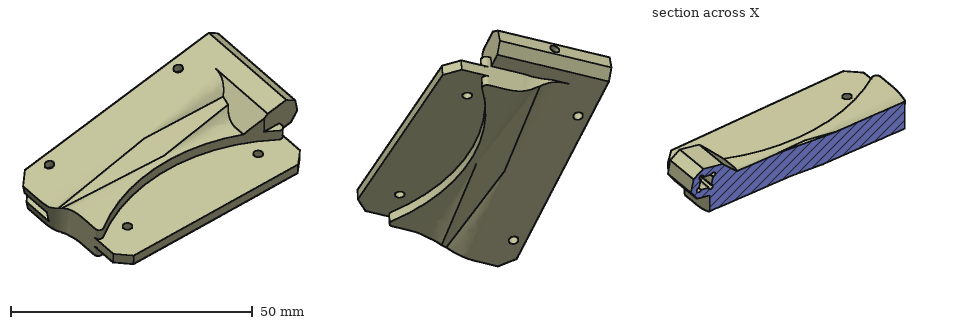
import cadquery as cq
import math

LEAN_ANGLE = 2.5
TWIST_ANGLE = 12.0

THICKNESS = 7.5
HALF_THICKNESS = THICKNESS / 2
HALF_LENGTH = 25.0
WIDTH = 35.0
SOCKET_EDGE_X = -17.35
TAB_EDGE_X = SOCKET_EDGE_X + WIDTH
CORNER_CHAMFER = 3.0
TALL = 40.0

SOCKET_BEND_X = -5.8
TAB_BEND_X = 0.7
BEND_RADIUS = 10.5
SLAB_REACH = 26.0
SLAB_MARGIN = 1.0

TAB_THICKNESS = 2.5
TAB_CENTRE_Z = -0.1
SHOULDER_RADIUS = 41.6
SHOULDER_MIDDLE_X = 2.25
SHOULDER_TIP_RADIUS = 1.0

SLOT_HEIGHT = 3.0
SLOT_FLOOR_X = -7.05
SLOT_END_Y = 22.95
SCREW_DIAMETER = 2.0
SCREW_SPACING = 35.0
SOCKET_SCREW_X = SOCKET_EDGE_X + 2.6
TAB_SCREW_X = TAB_EDGE_X - 7.5

BAR_END_X = SOCKET_EDGE_X + 25.2
BAR_END_Y = HALF_LENGTH + 5.1
BAR_CHAMFER = 2.1
BAR_SLOPE_ANGLE = 45.0 - TWIST_ANGLE
POCKET_Y = 26.45
POCKET_SIDE = 3.1
POCKET_DEPTH = 24.0
RELIEF_DIAMETER = 1.0
SET_SCREW_DIAMETER = 2.0
SET_SCREW_X = (SOCKET_EDGE_X + BAR_END_X) / 2


def twisted(body):
    """Turn a body from the flat attitude into that of the socket half."""
    return body.rotate((0, 0, 0), (1, 0, 0), TWIST_ANGLE)


def surface_points(y, side):
    """Corners of the upper (side = 1) or lower (side = -1) surface profile at one Y, left to right.

    Each bend gives its start, the middle of its arc and its end.
    """
    twist = math.radians(TWIST_ANGLE)
    socket_z = y * math.tan(twist) + side * HALF_THICKNESS / math.cos(twist)
    tab_z = side * HALF_THICKNESS
    slope = math.atan2(tab_z - socket_z, TAB_BEND_X - SOCKET_BEND_X)
    setback = BEND_RADIUS * math.tan(abs(slope) / 2)
    sagitta = BEND_RADIUS * (1 / math.cos(slope / 2) - 1) * math.copysign(1, slope)
    run = setback * math.cos(slope)
    rise = setback * math.sin(slope)
    mid_x = sagitta * math.sin(slope / 2)
    mid_z = sagitta * math.cos(slope / 2)
    return [
        (SOCKET_EDGE_X - SLAB_MARGIN, socket_z),
        (SOCKET_BEND_X - setback, socket_z),
        (SOCKET_BEND_X - mid_x, socket_z + mid_z),
        (SOCKET_BEND_X + run, socket_z + rise),
        (TAB_BEND_X - run, tab_z - rise),
        (TAB_BEND_X + mid_x, tab_z - mid_z),
        (TAB_BEND_X + setback, tab_z),
        (TAB_EDGE_X + SLAB_MARGIN, tab_z),
    ]


def slab_section(y):
    """Closed S-shaped profile of the slab in the plane at y."""
    upper = [cq.Vector(x, y, z) for x, z in surface_points(y, 1)]
    lower = [cq.Vector(x, y, z) for x, z in reversed(surface_points(y, -1))]
    edges = []
    for points in (upper, lower):
        edges.append(cq.Edge.makeLine(points[0], points[1]))
        edges.append(cq.Edge.makeThreePointArc(points[1], points[2], points[3]))
        edges.append(cq.Edge.makeLine(points[3], points[4]))
        edges.append(cq.Edge.makeThreePointArc(points[4], points[5], points[6]))
        edges.append(cq.Edge.makeLine(points[6], points[7]))
    edges.append(cq.Edge.makeLine(upper[-1], lower[0]))
    edges.append(cq.Edge.makeLine(lower[-1], upper[0]))
    return cq.Wire.assembleEdges(edges)


def slab():
    """Twisted slab, longer than the part, ruled from its middle to either end."""
    front, middle, back = (slab_section(y) for y in (-SLAB_REACH, 0, SLAB_REACH))
    front_half = cq.Solid.makeLoft([front, middle], True)
    back_half = cq.Solid.makeLoft([middle, back], True)
    return cq.Workplane(front_half).union(cq.Workplane(back_half))


def tall_block(start_x, end_x):
    """Full-length block between two X positions, much taller than the part."""
    block = cq.Workplane().box(end_x - start_x, 2 * HALF_LENGTH, TALL)
    return block.translate(((start_x + end_x) / 2, 0, 0))


def footprint():
    """Tall walls around the slab: the socket half, the twisting bridge and the tab half."""
    socket = tall_block(SOCKET_EDGE_X, SOCKET_BEND_X)
    socket = socket.edges("|Z and <X and <Y").chamfer(CORNER_CHAMFER)
    tab = tall_block(TAB_BEND_X, TAB_EDGE_X).edges("|Z and >X").chamfer(CORNER_CHAMFER)
    outline = cq.Workplane("YZ").rect(2 * HALF_LENGTH, TALL)
    bridge_start = twisted(outline.translate((SOCKET_BEND_X, 0, 0)))
    bridge_end = outline.translate((TAB_BEND_X, 0, 0))
    sections = [bridge_start.val(), bridge_end.val()]
    bridge = cq.Workplane(cq.Solid.makeLoft(sections, True))
    return twisted(socket).union(bridge).union(tab)


def bar():
    """Bar across the back end: chamfered nose, and a slope that runs down into the tab half."""
    slope_run = THICKNESS / math.tan(math.radians(BAR_SLOPE_ANGLE))
    profile = [
        (SLOT_END_Y, HALF_THICKNESS),
        (BAR_END_Y - BAR_CHAMFER, HALF_THICKNESS),
        (BAR_END_Y, HALF_THICKNESS - BAR_CHAMFER),
        (BAR_END_Y, BAR_CHAMFER - HALF_THICKNESS),
        (BAR_END_Y - BAR_CHAMFER, -HALF_THICKNESS),
        (SLOT_END_Y - slope_run, -HALF_THICKNESS),
    ]
    body = cq.Workplane("YZ").polyline(profile).close().extrude(BAR_END_X - SOCKET_EDGE_X)
    return twisted(body.translate((SOCKET_EDGE_X, 0, 0)))


def shoulder_cuts():
    """Everything beyond the concave shoulder, above and below the tab."""
    axis_x = SHOULDER_MIDDLE_X + SHOULDER_RADIUS
    beyond = cq.Workplane().circle(SHOULDER_RADIUS).extrude(TALL).translate((axis_x, 0, 0))
    block = cq.Workplane().rect(2 * axis_x, 2 * HALF_LENGTH).extrude(TALL)
    tips = block.cut(beyond).edges("|Z and >X").fillet(SHOULDER_TIP_RADIUS)
    cutter = block.cut(tips)
    above = cutter.translate((0, 0, TAB_CENTRE_Z + TAB_THICKNESS / 2))
    below = cutter.translate((0, 0, TAB_CENTRE_Z - TAB_THICKNESS / 2 - TALL))
    return above.union(below)


def socket_slot():
    """Slot open to the left edge and the front end."""
    length = SLOT_END_Y + 2 * HALF_LENGTH
    depth = SLOT_FLOOR_X - SOCKET_EDGE_X
    slot = cq.Workplane().box(2 * depth, length, SLOT_HEIGHT)
    return twisted(slot.translate((SOCKET_EDGE_X, SLOT_END_Y - length / 2, 0)))


def screw_holes(x):
    """Drills for a pair of through holes at x, in the flat attitude."""
    drills = cq.Workplane().pushPoints([(x, -SCREW_SPACING / 2), (x, SCREW_SPACING / 2)])
    return drills.circle(SCREW_DIAMETER / 2).extrude(TALL / 2, both=True)


def nut_pocket():
    """Square pocket along the bar with relieved corners, and the set screw hole that meets it."""
    mouth = cq.Workplane("YZ", origin=(SOCKET_EDGE_X, POCKET_Y, 0))
    square = mouth.rect(POCKET_SIDE, POCKET_SIDE).extrude(POCKET_DEPTH)
    reliefs = mouth.rect(POCKET_SIDE, POCKET_SIDE, forConstruction=True).vertices()
    reliefs = reliefs.circle(RELIEF_DIAMETER / 2).extrude(POCKET_DEPTH)
    drill = cq.Workplane("XZ", origin=(SET_SCREW_X, BAR_END_Y, 0)).circle(SET_SCREW_DIAMETER / 2)
    return twisted(square.union(reliefs).union(drill.extrude(BAR_END_Y - POCKET_Y)))


body = slab().intersect(footprint())
body = body.union(bar())
body = body.cut(shoulder_cuts())
body = body.cut(socket_slot())
body = body.cut(twisted(screw_holes(SOCKET_SCREW_X)))
body = body.cut(screw_holes(TAB_SCREW_X))
body = body.cut(nut_pocket())
result = body.rotate((0, 0, 0), (0, 1, 0), LEAN_ANGLE)